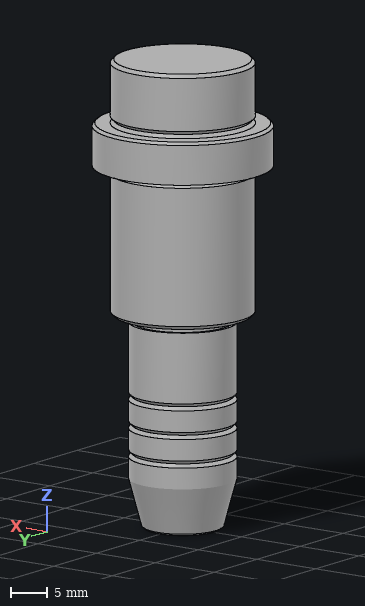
import cadquery as cq
import math

total_length = 66.0
collar_diameter = 25.0
body_diameter = 20.0
barb_diameter = 15.0
neck_diameter = 14.0

body_bottom = 30.0
collar_bottom = 51.0
collar_top = 57.0

tip_length = 7.0
tip_half_angle = 15.0
ring_length = 3.05
ring_count = 3

groove_width = 1.0
groove_depth = groove_width / 2
edge_chamfer = 0.5
collar_chamfer = 0.4
tip_chamfer = 0.3

tip_diameter = barb_diameter - 2 * tip_length * math.tan(math.radians(tip_half_angle))


def cylinder(diameter, bottom, top):
    return cq.Workplane("XY").workplane(offset=bottom).circle(diameter / 2).extrude(top - bottom)


def v_groove(diameter, bottom):
    """Ring of triangular section that cuts a V groove into a cylinder."""
    radius = diameter / 2
    section = (
        cq.Workplane("XZ")
        .moveTo(radius, bottom)
        .lineTo(radius - groove_depth, bottom + groove_width / 2)
        .lineTo(radius, bottom + groove_width)
        .close()
    )
    return section.revolve(360, (0, 0, 0), (0, 1, 0))


def make_body():
    """Plain shank and head, grooved on both sides of the collar."""
    body = cylinder(body_diameter, body_bottom, total_length).edges().chamfer(edge_chamfer)
    for bottom in (collar_bottom - groove_width, collar_top):
        body = body.cut(v_groove(body_diameter, bottom))
    collar = cylinder(collar_diameter, collar_bottom, collar_top)
    return body.union(collar.faces(">Z").edges().chamfer(collar_chamfer))


def make_tip():
    """Cone that narrows toward the end, with a small chamfer on its edge."""
    tip = (
        cq.Workplane("XY")
        .circle(tip_diameter / 2)
        .workplane(offset=tip_length)
        .circle(barb_diameter / 2)
        .loft(ruled=True)
    )
    return tip.faces("<Z").edges().chamfer(tip_chamfer)


def make_hose_end():
    """Neck below the body, then the grooved barb and its tapered tip."""
    neck_bottom = body_bottom - groove_width
    neck = cylinder(neck_diameter, neck_bottom, body_bottom)
    barb = cylinder(barb_diameter, tip_length, neck_bottom)
    for i in range(ring_count):
        groove_bottom = tip_length + ring_length + i * (ring_length + groove_width)
        barb = barb.cut(v_groove(barb_diameter, groove_bottom))
    return neck.union(barb).union(make_tip())


result = make_body().union(make_hose_end())